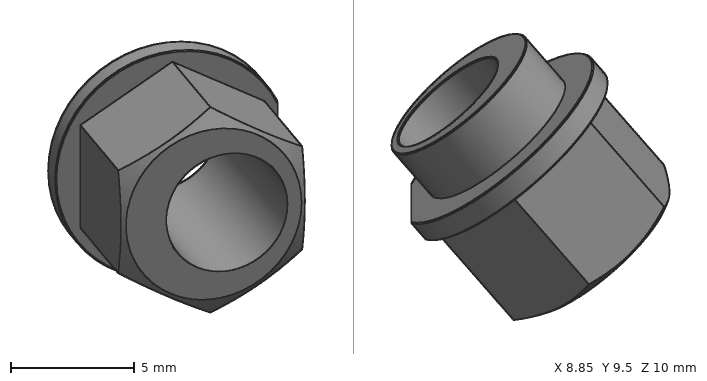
import cadquery as cq
import math

length = 8.85
boss_length = 2.5
flange_thickness = 1.0
hex_length = length - boss_length - flange_thickness

flange_diameter = 10.0
flange_flat_offset = 4.5
boss_diameter = 7.09
hex_across_flats = 7.86
hex_across_corners = hex_across_flats / math.cos(math.radians(30))
bore_diameter = 5.18
bore_offset = 0.56

edge_chamfer = 0.05
hex_end_radius = 3.75
hex_chamfer_angle = 30.0


def axial_plane(x):
    """Cross-section plane at x, with local x along +Y and local y along +Z."""
    return cq.Workplane("YZ", origin=(x, 0, 0))


def make_boss():
    boss = axial_plane(0).circle(boss_diameter / 2).extrude(boss_length)
    return boss.faces("<X").chamfer(edge_chamfer)


def make_flange():
    """Round flange with both rims broken, then cut flat on the +Y side."""
    flange = axial_plane(boss_length).circle(flange_diameter / 2).extrude(flange_thickness)
    flange = flange.faces("<X or >X").edges().chamfer(edge_chamfer)
    keep_width = flange_flat_offset + flange_diameter / 2
    keep = cq.Workplane("XY").box(length, keep_width, flange_diameter)
    keep = keep.translate((length / 2, flange_flat_offset - keep_width / 2, 0))
    return flange.intersect(keep)


def make_hex():
    """Hexagon with corners on the Z axis and a conical chamfer at its free end."""
    start = boss_length + flange_thickness
    prism = (
        axial_plane(start)
        .transformed(rotate=(0, 0, 90))
        .polygon(6, hex_across_corners)
        .extrude(hex_length)
    )
    corner_radius = hex_across_corners / 2
    cone_length = (corner_radius - hex_end_radius) * math.tan(math.radians(hex_chamfer_angle))
    envelope = (
        cq.Workplane("XY")
        .moveTo(start, 0)
        .lineTo(start, corner_radius)
        .lineTo(length - cone_length, corner_radius)
        .lineTo(length, hex_end_radius)
        .lineTo(length, 0)
        .close()
        .revolve(360, (0, 0, 0), (1, 0, 0))
    )
    return prism.intersect(envelope)


def make_bore():
    """Eccentric through bore with a chamfered mouth at the boss end."""
    radius = bore_diameter / 2
    bore = axial_plane(0).center(bore_offset, 0).circle(radius).extrude(length)
    mouth = (
        axial_plane(0)
        .center(bore_offset, 0)
        .circle(radius + edge_chamfer)
        .extrude(edge_chamfer, taper=45)
    )
    return bore.union(mouth)


result = make_boss().union(make_flange()).union(make_hex()).cut(make_bore())